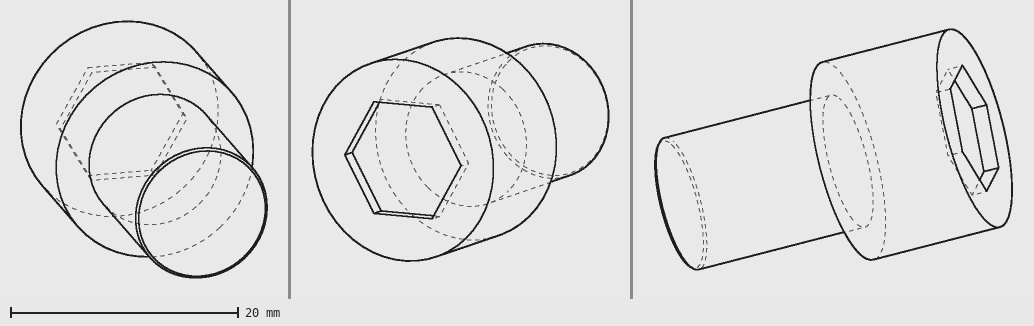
import cadquery as cq
import math

total_length = 28
head_diameter = 18.0
shank_diameter = 12.0
head_length = shank_diameter
tip_chamfer = 0.22
socket_across_flats = 10.0
socket_depth = 1.4

head_face_x = -total_length / 2
shank_length = total_length - head_length


def make_body():
    """Head and plain shank, with a small chamfer around the shank tip."""
    head = cq.Workplane("YZ", origin=(head_face_x, 0, 0)).circle(head_diameter / 2).extrude(head_length)
    body = head.faces(">X").workplane().circle(shank_diameter / 2).extrude(shank_length)
    return body.faces(">X").edges().chamfer(tip_chamfer)


def make_socket():
    """Hexagonal recess with two corners on the Y axis and flats facing +Z and -Z."""
    corner_radius = socket_across_flats / 2 / math.cos(math.pi / 6)
    corner_angles = [i * math.pi / 3 for i in range(6)]
    corners = [(corner_radius * math.cos(a), corner_radius * math.sin(a)) for a in corner_angles]
    return cq.Workplane("YZ", origin=(head_face_x, 0, 0)).polyline(corners).close().extrude(socket_depth)


result = make_body().cut(make_socket())